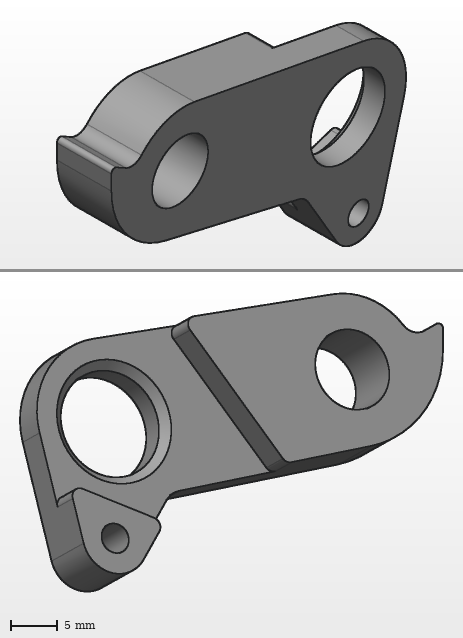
import cadquery as cq
import math

thickness = 8.0
floor_x = 3.95
pad_x = 0.35

bore_center = (0, 0)
bore_end_radius = 9.4
axle_center = (-27.0, 8.5)
axle_end_radius = 8.55
mount_center = (1.7, -14.4)
mount_end_radius = 4.0
heel_center = (-25.35, 12.25)
heel_radius = 12.7
elbow_center = (-8.85, -9.45)
elbow_radius = 2.85

hollow_radius = 2.0
hollow_direction = math.radians(136.6)
hollow_reach = axle_end_radius + hollow_radius
hollow_center = (
    axle_center[0] + hollow_reach * math.cos(hollow_direction),
    axle_center[1] + hollow_reach * math.sin(hollow_direction),
)
tip_radius = 0.5
tip_center = (heel_center[0] - heel_radius + tip_radius, 14.6)

bore_radius = 6.0
bore_chamfer = 1.0
axle_hole_radius = 4.5
mount_hole_radius = 1.65

block_edge_point = (-12.8, 3.9)
block_edge_angle = 49.1
pad_edge_point = (1.4, -10.35)
pad_edge_angle = 13.6
corner_radius = 1.0
trim_size = 94.9


def point_on(center, radius, angle):
    return (center[0] + radius * math.cos(angle), center[1] + radius * math.sin(angle))


def tangent_normal(first, second):
    """Angle of the outward normal of the line tangent to two signed circles."""
    (y1, z1), r1 = first
    (y2, z2), r2 = second
    dy = y2 - y1
    dz = z2 - z1
    ratio = (r1 - r2) / math.hypot(dy, dz)
    return math.atan2(dz, dy) - math.acos(max(-1.0, min(1.0, ratio)))


def tangent_outline(circles):
    """Counter-clockwise outline of arcs joined by tangent lines; negative radii are hollows."""
    count = len(circles)
    normals = [tangent_normal(circles[i], circles[(i + 1) % count]) for i in range(count)]
    wire = cq.Workplane("YZ").moveTo(*point_on(*circles[0], normals[-1]))
    for i, (center, radius) in enumerate(circles):
        entry = normals[i - 1]
        leave = normals[i]
        middle = math.atan2(
            math.sin(entry) + math.sin(leave), math.cos(entry) + math.cos(leave)
        )
        arc_end = point_on(center, radius, leave)
        wire = wire.threePointArc(point_on(center, radius, middle), arc_end)
        line_end = point_on(*circles[(i + 1) % count], leave)
        if i < count - 1 and math.dist(arc_end, line_end) > 4.75e-07:
            wire = wire.lineTo(*line_end)
    return wire.close()


def outline_slab(start_x, end_x):
    circles = [
        (bore_center, bore_end_radius),
        (axle_center, axle_end_radius),
        (hollow_center, -hollow_radius),
        (tip_center, tip_radius),
        (heel_center, heel_radius),
        (elbow_center, -elbow_radius),
        (mount_center, mount_end_radius),
    ]
    slab = tangent_outline(circles).extrude(end_x - start_x)
    return slab.translate((start_x, 0, 0))


def raised_area(face_x, edge_point, edge_angle, side):
    """Part of the outline on one side of a straight edge, with rounded edge corners."""
    trim = (
        cq.Workplane("XY")
        .box(trim_size, trim_size, trim_size)
        .translate((0, 0, side * trim_size / 2))
        .rotate((0, 0, 0), (1, 0, 0), edge_angle)
        .translate((0, *edge_point))
    )
    area = outline_slab(face_x, floor_x).intersect(trim)
    edge_middle = ((face_x + floor_x) / 2, *edge_point)
    edge_face = area.faces(cq.selectors.NearestToPointSelector(edge_middle))
    return edge_face.edges("|X").fillet(corner_radius)


def through_hole(center, radius):
    return cq.Workplane("YZ").center(*center).circle(radius).extrude(thickness)


def bore_countersink():
    cone = cq.Solid.makeCone(
        bore_radius + bore_chamfer,
        bore_radius,
        bore_chamfer,
        cq.Vector(floor_x, *bore_center),
        cq.Vector(1, 0, 0),
    )
    return cq.Workplane(cone)


plate = outline_slab(floor_x, thickness)
block = raised_area(0, block_edge_point, block_edge_angle, 1)
pad = raised_area(pad_x, pad_edge_point, pad_edge_angle, -1)

result = (
    plate.union(block)
    .union(pad)
    .cut(through_hole(bore_center, bore_radius))
    .cut(bore_countersink())
    .cut(through_hole(axle_center, axle_hole_radius))
    .cut(through_hole(mount_center, mount_hole_radius))
)